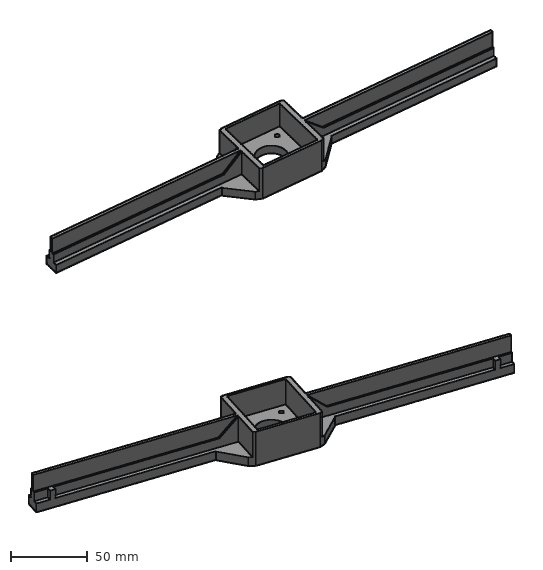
import cadquery as cq

BOX_WIDTH = 47.0
BOX_LENGTH = 51.0
HEIGHT = 27.0
CAVITY_SIZE = 43.0
FLOOR_THICKNESS = 7.0
SHAFT_HOLE_DIAMETER = 22.5
SCREW_HOLE_DIAMETER = 3.2
SCREW_HOLE_SPACING = 30.0

SPAN = 350.0
BASE_WIDTH = 11.0
BASE_HEIGHT = FLOOR_THICKNESS
RIB_WIDTH = 5.0
RIB_TOP = 14.0
WEB_WIDTH = 2.4
GUSSET_LENGTH = 14.0

CORNER_START = 23.5
CORNER_INSET = 2.0
FLARE_START = 28.0
FLARE_TIP_WIDTH = 12.0
FLARE_WIDTH = BOX_WIDTH - 2 * CORNER_INSET
FLARE_END = FLARE_START + (FLARE_WIDTH - FLARE_TIP_WIDTH) / 2

STOP_THICKNESS = 4.0
STOP_TIP_DISTANCE = 10.0


def bar(width, length, bottom, top):
    """Bar centred on the Z axis, between two heights."""
    return (
        cq.Workplane("XY")
        .workplane(offset=bottom)
        .rect(width, length)
        .extrude(top - bottom)
    )


def make_arms():
    """Stepped section: wide base, narrower rib, thin web."""
    base = bar(BASE_WIDTH, SPAN, 0, BASE_HEIGHT)
    rib = bar(RIB_WIDTH, SPAN, 0, RIB_TOP)
    web = bar(WEB_WIDTH, SPAN, 0, HEIGHT)
    return base.union(rib).union(web)


def make_hub(top):
    """Plate with slanted corners that flares at 45 degrees into the arms."""
    corner = [
        (BOX_WIDTH / 2, CORNER_START),
        (FLARE_WIDTH / 2, FLARE_START),
        (FLARE_TIP_WIDTH / 2, FLARE_END),
    ]
    right_side = [(x, -y) for x, y in reversed(corner)] + corner
    left_side = [(-x, -y) for x, y in right_side]
    return cq.Workplane("XY").polyline(right_side + left_side).close().extrude(top)


def make_box():
    """Full-height part of the hub, trimmed square at both box ends."""
    return make_hub(HEIGHT).intersect(bar(BOX_WIDTH, BOX_LENGTH, 0, HEIGHT))


def make_gussets():
    """Rib-wide gussets rising from the rib to the box rim."""
    box_end = BOX_LENGTH / 2
    gusset_end = box_end + GUSSET_LENGTH
    return (
        cq.Workplane("YZ")
        .polyline([
            (-gusset_end, RIB_TOP),
            (-box_end, HEIGHT),
            (box_end, HEIGHT),
            (gusset_end, RIB_TOP),
        ])
        .close()
        .extrude(RIB_WIDTH / 2, both=True)
    )


def make_stop(side):
    """Block beside the rib near the arm tip; side is +1 or -1 along Y."""
    centre_y = side * (SPAN / 2 - STOP_TIP_DISTANCE - STOP_THICKNESS / 2)
    return (
        cq.Workplane("XY")
        .center(-BASE_WIDTH / 4, centre_y)
        .rect(BASE_WIDTH / 2, STOP_THICKNESS)
        .extrude(RIB_TOP)
    )


def cut_motor_mount(body):
    """Open cavity, shaft hole and four screw holes."""
    cavity = bar(CAVITY_SIZE, CAVITY_SIZE, FLOOR_THICKNESS, HEIGHT)
    shaft_hole = cq.Workplane("XY").circle(SHAFT_HOLE_DIAMETER / 2).extrude(HEIGHT)
    screw_holes = (
        cq.Workplane("XY")
        .rect(SCREW_HOLE_SPACING, SCREW_HOLE_SPACING, forConstruction=True)
        .vertices()
        .circle(SCREW_HOLE_DIAMETER / 2)
        .extrude(HEIGHT)
    )
    return body.cut(cavity).cut(shaft_hole).cut(screw_holes)


body = make_box().union(make_hub(BASE_HEIGHT)).union(make_arms()).union(make_gussets())
for side in (-1, 1):
    body = body.union(make_stop(side))

result = cut_motor_mount(body)